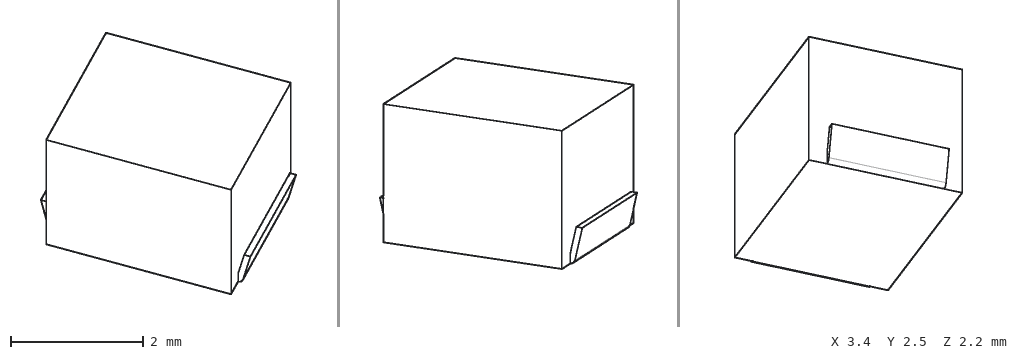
import cadquery as cq
import math

overall_length = 3.4
body_length = 3.0
body_width = 2.5
body_height = 2.2

terminal_width = 1.91
terminal_height = 0.6
terminal_top_thickness = 0.102
terminal_lean = 13.0
bend_radius = 0.09
root_depth = 0.17

tip_x = overall_length / 2
body_end_x = body_length / 2
lean_slope = math.tan(math.radians(terminal_lean))


def make_terminal():
    """Outward leaning strip on the +X end, rounded along its bottom outer edge."""
    root_x = body_end_x - root_depth
    heel_x = tip_x - terminal_height * lean_slope
    inner_top_x = tip_x - terminal_top_thickness
    meeting_height = terminal_height - (inner_top_x - body_end_x) / lean_slope
    strip = (
        cq.Workplane("XZ")
        .moveTo(root_x, 0)
        .lineTo(heel_x, 0)
        .lineTo(tip_x, terminal_height)
        .lineTo(inner_top_x, terminal_height)
        .lineTo(body_end_x, meeting_height)
        .lineTo(root_x, meeting_height)
        .close()
        .extrude(terminal_width / 2, both=True)
    )
    heel_edge = cq.selectors.NearestToPointSelector((heel_x, 0, 0))
    return strip.edges(heel_edge).fillet(bend_radius)


body = cq.Workplane("XY").box(
    body_length, body_width, body_height, centered=(True, True, False)
)
terminal = make_terminal()
result = body.union(terminal).union(terminal.mirror("YZ"))